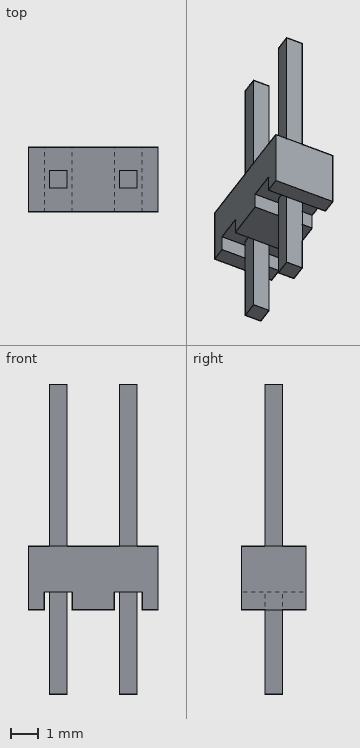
import cadquery as cq

body_length = 4.67
body_width = 2.34
body_height = 2.29
body_bottom = 3.05

pin_length = 11.18
pin_side = 0.64
pin_pitch = 2.53

slot_width = 1.01
slot_height = 0.64

pin_positions = (-pin_pitch / 2, pin_pitch / 2)


def standing_box(length, width, height, x, bottom):
    """Box centred on (x, 0) that rises from the given bottom height."""
    return (
        cq.Workplane("XY", origin=(x, 0, bottom))
        .rect(length, width)
        .extrude(height)
    )


result = standing_box(body_length, body_width, body_height, 0, body_bottom)

for x in pin_positions:
    result = result.cut(standing_box(slot_width, body_width, slot_height, x, body_bottom))

for x in pin_positions:
    result = result.union(standing_box(pin_side, pin_side, pin_length, x, 0))